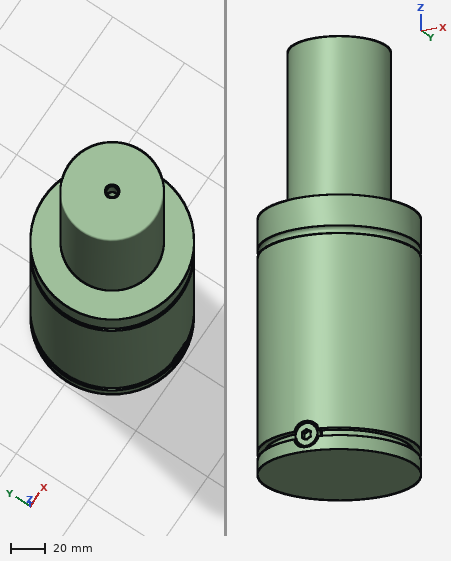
import cadquery as cq
import math

total_height = 258.0
body_diameter = 95.0
body_height = 155.3
rod_diameter = 60.0
rod_edge_round = 1.0

collar_groove_height = 134.2
collar_groove_radius = 2.3

base_groove_bottom = 8.5
base_groove_width = 4.6
base_groove_diameter = 86.7

plug_height = 10.5
recess_diameter = 16.0
recess_floor = 41.3
plug_diameter = 14.0
plug_face = 46.7
socket_across_flats = 5.5
socket_depth = 3.0

hole_diameter = 6.7
hole_depth = 13.0
hole_mouth_diameter = 8.3
drill_point_angle = 118.0


def make_body():
    """Stepped cylinder with the rod rounded at its top edge."""
    body = cq.Workplane("XY").circle(body_diameter / 2).extrude(body_height)
    rod = cq.Workplane("XY").circle(rod_diameter / 2).extrude(total_height)
    rod = rod.faces(">Z").edges().fillet(rod_edge_round)
    return body.union(rod)


def make_collar_groove():
    """Ring of round section, centred on the body surface."""
    return (
        cq.Workplane("XZ")
        .center(body_diameter / 2, collar_groove_height)
        .circle(collar_groove_radius)
        .revolve(360, (-body_diameter / 2, 0), (-body_diameter / 2, 1))
    )


def make_base_groove():
    """Ring of rectangular section."""
    return (
        cq.Workplane("XY", origin=(0, 0, base_groove_bottom))
        .circle(body_diameter / 2)
        .circle(base_groove_diameter / 2)
        .extrude(base_groove_width)
    )


def plug_plane(distance):
    """Plane facing -Y on the plug axis, at a distance from the body axis."""
    return cq.Workplane("XZ", origin=(0, -distance, plug_height))


def add_plug(part):
    recess_depth = body_diameter / 2 - recess_floor
    recess = plug_plane(recess_floor).circle(recess_diameter / 2).extrude(recess_depth)
    plug_root = base_groove_diameter / 4
    plug = plug_plane(plug_root).circle(plug_diameter / 2).extrude(plug_face - plug_root)
    socket_across_corners = socket_across_flats / math.cos(math.radians(30))
    socket = (
        plug_plane(plug_face)
        .transformed(rotate=(0, 0, 90))
        .polygon(6, socket_across_corners)
        .extrude(-socket_depth)
    )
    return part.cut(recess).union(plug).cut(socket)


def make_rod_hole():
    """Drilled hole with a 45 degree mouth and a conical bottom."""
    hole_radius = hole_diameter / 2
    mouth_radius = hole_mouth_diameter / 2
    straight_bottom = total_height - hole_depth
    point_length = hole_radius / math.tan(math.radians(drill_point_angle / 2))
    return (
        cq.Workplane("XZ")
        .moveTo(0, total_height)
        .lineTo(mouth_radius, total_height)
        .lineTo(hole_radius, total_height - (mouth_radius - hole_radius))
        .lineTo(hole_radius, straight_bottom)
        .lineTo(0, straight_bottom - point_length)
        .close()
        .revolve(360, (0, 0), (0, 1))
    )


result = make_body().cut(make_collar_groove()).cut(make_base_groove())
result = add_plug(result).cut(make_rod_hole())